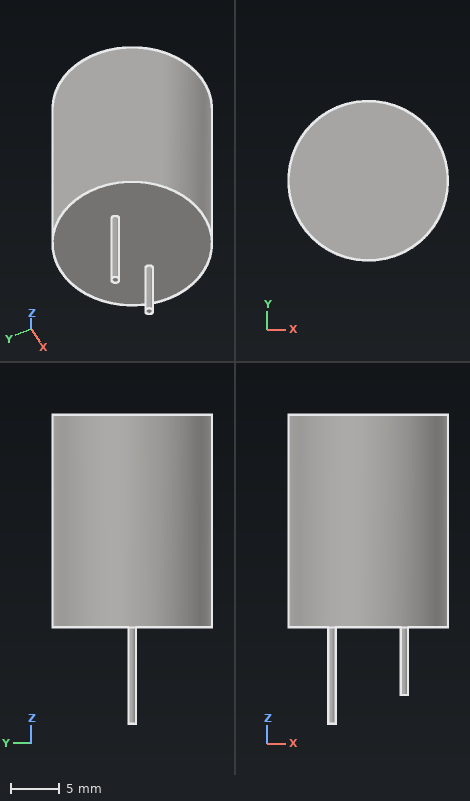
import cadquery as cq

total_height = 32.0
can_diameter = 16.5
long_lead_length = 10.0
can_height = total_height - long_lead_length

lead_diameter = 0.8
lead_pitch = 7.5
short_lead_length = 7.0


def make_can():
    """Plain cylindrical can standing on the plane Z = 0."""
    return cq.Workplane("XY").circle(can_diameter / 2).extrude(can_height)


def make_lead(x, length):
    """Round lead hanging down from the underside of the can."""
    return cq.Workplane("XY").center(x, 0).circle(lead_diameter / 2).extrude(-length)


can = make_can()

lead_layout = [
    (-lead_pitch / 2, long_lead_length),
    (lead_pitch / 2, short_lead_length),
]
leads = [make_lead(x, length) for x, length in lead_layout]

result = cq.Compound.makeCompound([can.val(), *[lead.val() for lead in leads]])